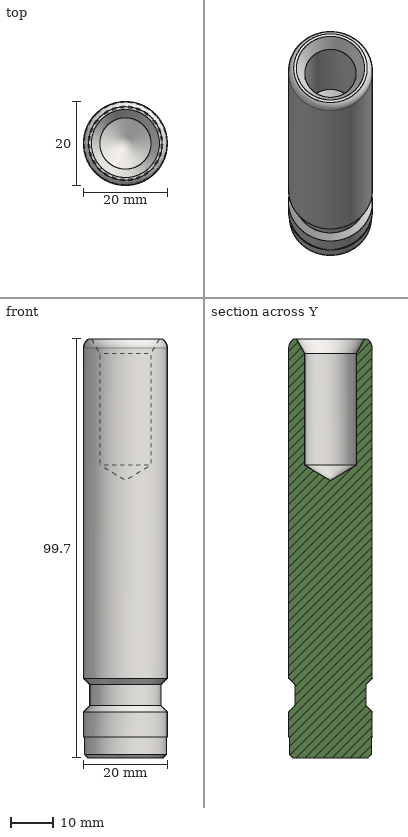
import cadquery as cq
import math

length = 99.72
body_radius = 10.0

spigot_radius = 9.8
spigot_height = 5.0
foot_chamfer = 0.9
collar_top = 12.5

neck_radius = 8.5
shoulder = body_radius - neck_radius
neck_length = 5.0
neck_top = collar_top + neck_length

edge_round = 2.6
edge_start = 97.5

mouth_radius = 8.1
bore_radius = 6.1
mouth_half_angle = 30.0
bore_depth = 30.0
drill_point_angle = 118.0


def edge_point(height):
    """Point (radius, height) on the arc that rounds the top edge."""
    rise = height - edge_start
    run = math.sqrt(edge_round**2 - rise**2)
    return (body_radius - edge_round + run, height)


def make_pillar():
    """Solid pillar revolved from its outer profile."""
    return (
        cq.Workplane("XZ")
        .lineTo(spigot_radius - foot_chamfer, 0)
        .lineTo(spigot_radius, foot_chamfer)
        .lineTo(spigot_radius, spigot_height)
        .lineTo(body_radius, spigot_height)
        .lineTo(body_radius, collar_top - shoulder)
        .lineTo(neck_radius, collar_top)
        .lineTo(neck_radius, neck_top)
        .lineTo(body_radius, neck_top + shoulder)
        .lineTo(body_radius, edge_start)
        .threePointArc(edge_point((edge_start + length) / 2), edge_point(length))
        .lineTo(0, length)
        .close()
        .revolve(360, (0, 0, 0), (0, 1, 0))
    )


def make_hole():
    """Cutter for the blind hole, including its conical mouth and drill point."""
    mouth_depth = (mouth_radius - bore_radius) / math.tan(math.radians(mouth_half_angle))
    point_depth = bore_radius / math.tan(math.radians(drill_point_angle / 2))
    bore_bottom = length - bore_depth
    return (
        cq.Workplane("XZ")
        .moveTo(0, length)
        .lineTo(mouth_radius, length)
        .lineTo(bore_radius, length - mouth_depth)
        .lineTo(bore_radius, bore_bottom)
        .lineTo(0, bore_bottom - point_depth)
        .close()
        .revolve(360, (0, 0, 0), (0, 1, 0))
    )


result = make_pillar().cut(make_hole())